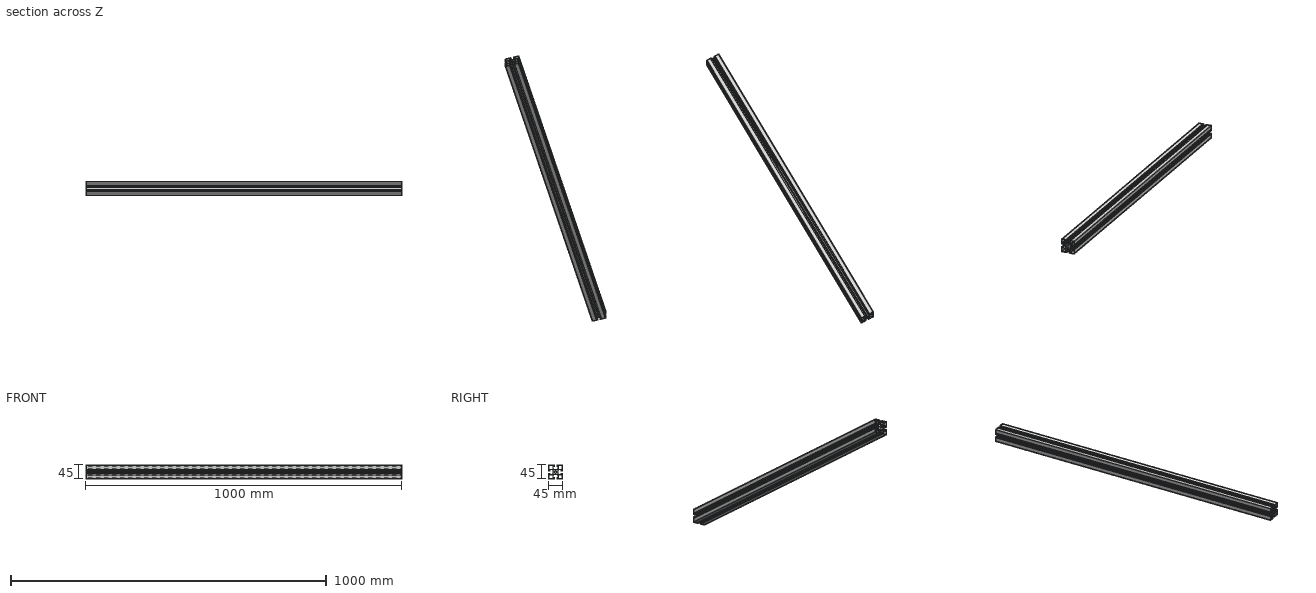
import cadquery as cq

LENGTH = 1000.0
SIZE = 45.0
CORNER_RADIUS = 2.5
CORE_HOLE_DIAMETER = 6.78
SIDES = 4

SLOT_OPENING = 8.0
LIP_THICKNESS = 4.5
LIP_CHAMFER = 1.0
POCKET_WIDTH = 15.0
POCKET_DEPTH = 14.0
POCKET_CHAMFER = 2.0

GROOVE_WIDTH = 2.5
GROOVE_DEPTH = 0.5

OUTER_WALL = 1.75
WEB_THICKNESS = 1.25

HALF_SIZE = SIZE / 2


def slot():
    """T-slot cutter for the +Z side."""
    opening = SLOT_OPENING / 2
    pocket = POCKET_WIDTH / 2
    lip_bottom = HALF_SIZE - LIP_THICKNESS
    floor = HALF_SIZE - POCKET_DEPTH
    half_outline = [
        (opening + LIP_CHAMFER, HALF_SIZE),
        (opening, HALF_SIZE - LIP_CHAMFER),
        (opening, lip_bottom),
        (pocket, lip_bottom),
        (pocket, floor + POCKET_CHAMFER),
        (pocket - POCKET_CHAMFER, floor),
        (GROOVE_WIDTH / 2, floor),
    ]
    groove_bottom = (0, floor - GROOVE_DEPTH)
    mirrored_half = [(-y, z) for y, z in reversed(half_outline)]
    outline = half_outline + [groove_bottom] + mirrored_half
    return cq.Workplane("YZ").polyline(outline).close().extrude(LENGTH)


def chamber():
    """Square chamber cutter for the +Y +Z corner."""
    inner = POCKET_WIDTH / 2 + WEB_THICKNESS
    outer = HALF_SIZE - OUTER_WALL
    center = (inner + outer) / 2
    side = outer - inner
    return cq.Workplane("YZ").center(center, center).rect(side, side).extrude(LENGTH)


def around_axis(cutter, index):
    """Turn a cutter about the X axis to the given side or corner."""
    return cutter.rotate((0, 0, 0), (1, 0, 0), index * 360 / SIDES)


bar = cq.Workplane("YZ").rect(SIZE, SIZE).extrude(LENGTH).edges("|X").fillet(CORNER_RADIUS)
core_hole = cq.Workplane("YZ").circle(CORE_HOLE_DIAMETER / 2).extrude(LENGTH)

result = bar.cut(core_hole)
for side_index in range(SIDES):
    result = result.cut(around_axis(slot(), side_index))
    result = result.cut(around_axis(chamber(), side_index))